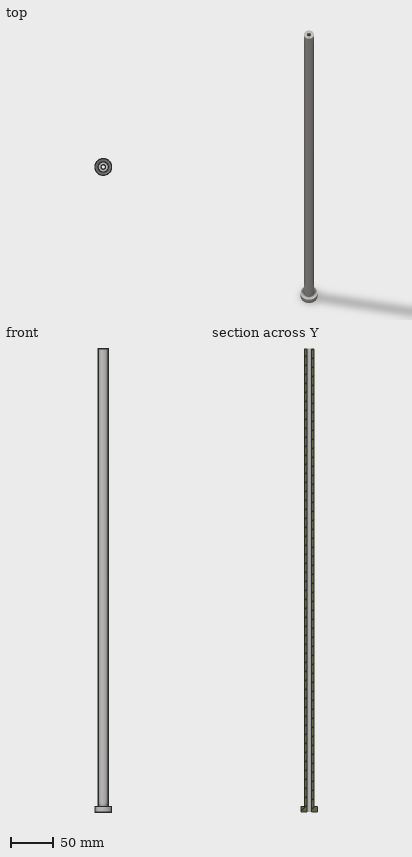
import cadquery as cq

TOTAL_LENGTH = 550.0
HEAD_DIAMETER = 20.0
HEAD_HEIGHT = 7.0
SHAFT_DIAMETER = 12.0
BORE_DIAMETER = 5.0
NECK_FILLET = 0.5

HEAD_RADIUS = HEAD_DIAMETER / 2
SHAFT_RADIUS = SHAFT_DIAMETER / 2
BORE_RADIUS = BORE_DIAMETER / 2


def half_section():
    """Wall of the sleeve in the XZ plane, on the -X side of the Z axis."""
    return (
        cq.Workplane("XZ")
        .moveTo(-BORE_RADIUS, 0)
        .lineTo(-HEAD_RADIUS, 0)
        .lineTo(-HEAD_RADIUS, HEAD_HEIGHT)
        .lineTo(-SHAFT_RADIUS - NECK_FILLET, HEAD_HEIGHT)
        .radiusArc((-SHAFT_RADIUS, HEAD_HEIGHT + NECK_FILLET), -NECK_FILLET)
        .lineTo(-SHAFT_RADIUS, TOTAL_LENGTH)
        .lineTo(-BORE_RADIUS, TOTAL_LENGTH)
        .close()
    )


result = half_section().revolve(360, (0, 0, 0), (0, 1, 0))